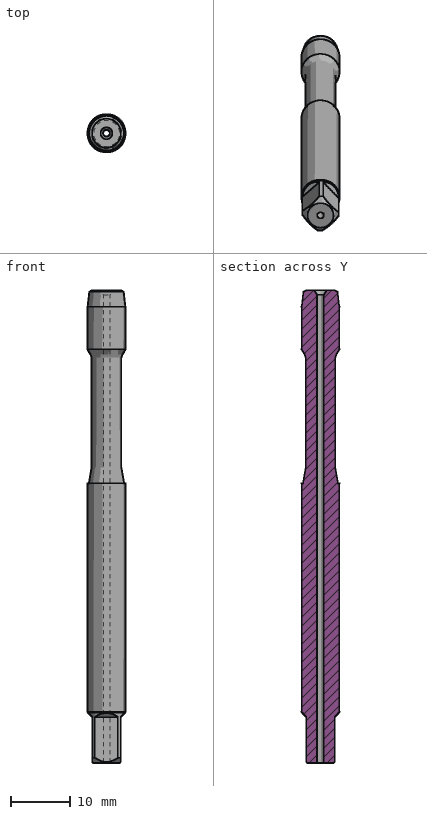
import cadquery as cq

total_length = 80.0
head_length = 10.0
lead_length = 2.8
tip_chamfer_height = 0.27
head_back_cone_height = 0.9
head_back_blend_height = 0.5
neck_end_from_tip = 30.0
shoulder_height = 2.65
shank_bottom = 8.5
shank_chamfer_height = 0.2

shank_diameter = 6.48
head_diameter = 6.48
lead_large_diameter = 6.43
lead_small_diameter = 5.85
tip_face_diameter = 4.9
head_back_diameter = 5.4
neck_diameter = 5.08
shoulder_large_diameter = 6.0

square_width = 4.85
square_corner_diameter = 6.22
flat_length = 7.8
end_face_diameter = 4.4

coolant_diameter = 1.1
mouth_diameter = 2.0
mouth_depth = 0.8


def make_body():
    """Revolve the round stock: square end, shank, shoulder, neck, head and tapered lead."""
    end_chamfer_height = (square_corner_diameter - end_face_diameter) / 2
    shoulder_top = total_length - neck_end_from_tip
    shoulder_bottom = shoulder_top - shoulder_height
    head_bottom = total_length - head_length
    head_cone_bottom = head_bottom - head_back_cone_height
    neck_top = head_cone_bottom - head_back_blend_height
    lead_bottom = total_length - lead_length
    lead_top = total_length - tip_chamfer_height
    profile = [
        (0, 0),
        (end_face_diameter / 2, 0),
        (square_corner_diameter / 2, end_chamfer_height),
        (square_corner_diameter / 2, shank_bottom),
        (shank_diameter / 2, shank_bottom + shank_chamfer_height),
        (shank_diameter / 2, shoulder_bottom),
        (shoulder_large_diameter / 2, shoulder_bottom),
        (neck_diameter / 2, shoulder_top),
        (neck_diameter / 2, neck_top),
        (head_back_diameter / 2, head_cone_bottom),
        (head_diameter / 2, head_bottom),
        (head_diameter / 2, lead_bottom),
        (lead_large_diameter / 2, lead_bottom),
        (lead_small_diameter / 2, lead_top),
        (tip_face_diameter / 2, total_length),
        (0, total_length),
    ]
    return cq.Workplane("XZ").polyline(profile).close().revolve(360, (0, 0), (0, 1))


def cut_square(body):
    """Cut four flats, each running out at the shank on a 45 degree slope."""
    flat_offset = square_width / 2
    runout_height = (shank_diameter - square_width) / 2
    cutter_profile = [
        (flat_offset, 0),
        (flat_offset, flat_length),
        (shank_diameter / 2, flat_length + runout_height),
        (shank_diameter, flat_length + runout_height),
        (shank_diameter, 0),
    ]
    cutter = cq.Workplane("XZ").polyline(cutter_profile).close().extrude(shank_diameter, both=True)
    for angle in (0, 90, 180, 270):
        body = body.cut(cutter.rotate((0, 0, 0), (0, 0, 1), angle))
    return body


def cut_coolant_hole(body):
    """Bore the part from end to end and open the hole with a conical mouth at the tip."""
    hole = cq.Workplane("XY").circle(coolant_diameter / 2).extrude(total_length)
    mouth = (
        cq.Workplane("XY", origin=(0, 0, total_length - mouth_depth))
        .circle(coolant_diameter / 2)
        .workplane(offset=mouth_depth)
        .circle(mouth_diameter / 2)
        .loft()
    )
    return body.cut(hole).cut(mouth)


result = cut_coolant_hole(cut_square(make_body()))